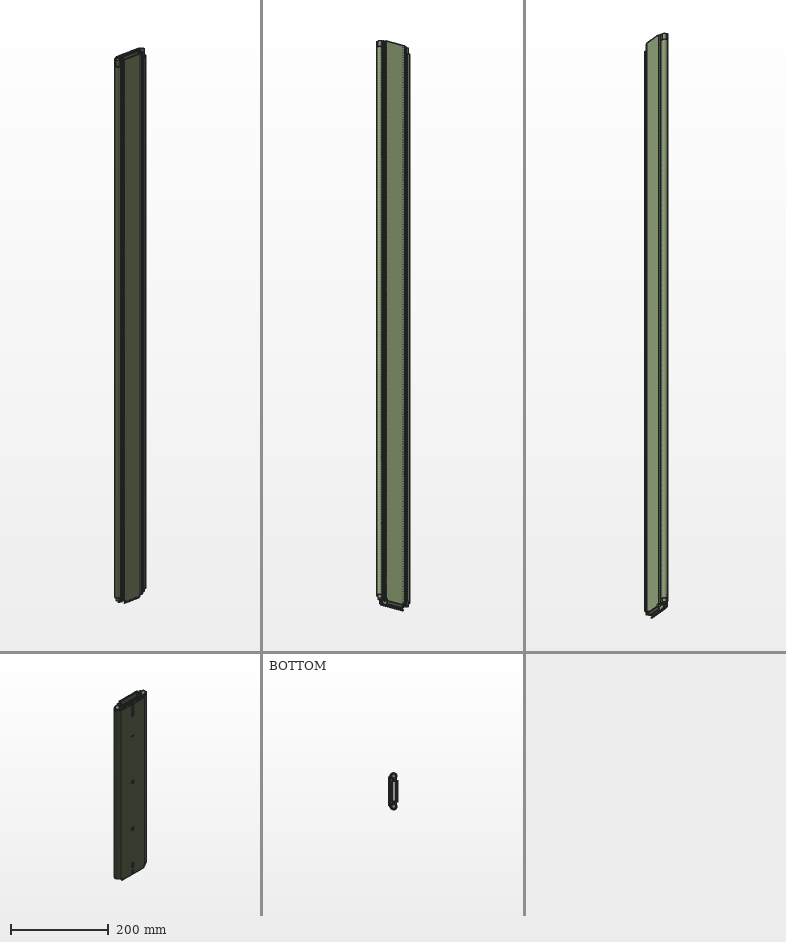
import cadquery as cq
import math

length = 1320.8
depth = 19.7
height = 76.19

sheet = 2.5
race_radius = 7.0
race_x = 10.6
race_y = height / 2 - race_radius
bore_radius = race_radius - sheet
shoulder_angle = math.radians(35.5)
race_start = math.radians(-44)
lip_angle = math.radians(105)
side_start = 18.0
tab_half_width = 26.0
tab_rise = 6.2
notch_depth = 14.5
notch_x = 8.0

hole_diameter = 4.6
small_hole_diameter = 3.0
hole_depths = [
    12.3, 32.0, 60.0, 76.0, 89.5, 248.2, 596.8, 610.7,
    958.6, 972.5, 1237.0, 1249.0, 1261.0, 1288.0, 1306.8,
]
small_hole_depths = [49.3, 1227.8]

middle_back = 5.5
middle_front = 17.0
middle_web = 2.0
middle_half_height = 28.0
middle_flange = 3.0
middle_bottom = 2.0
middle_bevel = 7.5

inner_back = 11.0
inner_half_height = 22.0
inner_tab_half_width = 18.0
inner_tab_rise = 5.0
inner_flange_start = 9.0

cage_sheet = 0.8
cage_bottom = 10.0
outer_cage_back = 4.0
outer_cage_half_height = 29.0
outer_track_radius = bore_radius - 0.1
inner_cage_back = 9.0
inner_cage_half_height = 23.9
inner_track_radius = 2.0
inner_track_x = 14.0
inner_track_y = (inner_half_height + middle_half_height - middle_flange) / 2


def block(x_start, x_end, y_start, y_end, z_start, z_end):
    """Box between two opposite corners."""
    size = (x_end - x_start, y_end - y_start, z_end - z_start)
    return cq.Workplane("XY").box(*size, centered=False).translate((x_start, y_start, z_start))


def both_sides(shape):
    """The shape together with its mirror image across the XZ plane."""
    return shape.union(shape.mirror("XZ"))


def track(x, y, radius, z_start):
    """Round bar along Z, from z_start to the top end."""
    return cq.Workplane("XY", origin=(x, y, z_start)).circle(radius).extrude(length - z_start)


def race_point(radius, angle):
    """Point of the outer race; the angle runs from +Y towards +X."""
    return (race_x + radius * math.sin(angle), race_y + radius * math.cos(angle))


def shoulder_foot(radius, x):
    """Point at the given x on the shoulder line that meets the start of the race."""
    start_x, start_y = race_point(radius, race_start)
    return (x, start_y - (start_x - x) / math.tan(shoulder_angle))


def bent_tab(face_x, inward, half_width, rise):
    """Lower end of a web, leaning inward below the bend; inward is +1 or -1 along X."""
    lean = rise * math.tan(shoulder_angle) * inward
    thickness = sheet * inward
    return (
        cq.Workplane("XZ", origin=(0, half_width, 0))
        .moveTo(face_x, side_start)
        .lineTo(face_x, rise)
        .lineTo(face_x + lean, 0)
        .lineTo(face_x + lean + thickness, 0)
        .lineTo(face_x + thickness, rise)
        .lineTo(face_x + thickness, side_start)
        .close()
        .extrude(2 * half_width)
    )


def outer_half_section():
    """The +Y half of the outer member, above its bent tab."""
    middle_angle = (race_start + lip_angle) / 2
    return (
        cq.Workplane("XY", origin=(0, 0, side_start))
        .moveTo(0, 0)
        .lineTo(*shoulder_foot(race_radius, 0))
        .lineTo(*race_point(race_radius, race_start))
        .threePointArc(race_point(race_radius, middle_angle), race_point(race_radius, lip_angle))
        .lineTo(*race_point(bore_radius, lip_angle))
        .threePointArc(race_point(bore_radius, middle_angle), race_point(bore_radius, race_start))
        .lineTo(*shoulder_foot(bore_radius, sheet))
        .lineTo(sheet, 0)
        .close()
        .extrude(length - side_start)
    )


def screw_holes(depths, diameter):
    """Cutters along X through the outer web."""
    return (
        cq.Workplane("YZ")
        .pushPoints([(0, length - hole_depth) for hole_depth in depths])
        .circle(diameter / 2)
        .extrude(sheet)
    )


def make_outer_member():
    notch = block(notch_x, depth, race_y - race_radius, height, length - notch_depth, length)
    body = both_sides(outer_half_section().cut(notch))
    body = body.union(bent_tab(0, 1, tab_half_width, tab_rise))
    body = body.cut(screw_holes(hole_depths, hole_diameter))
    return body.cut(screw_holes(small_hole_depths, small_hole_diameter))


def make_intermediate_member():
    inside = middle_half_height - middle_flange
    body = block(
        middle_back, middle_front, -middle_half_height, middle_half_height, middle_bottom, length
    )
    body = body.edges("|X and <Z").chamfer(middle_bevel)
    body = body.cut(block(middle_back + middle_web, middle_front, -inside, inside, 0, length))
    grooves = track(race_x, race_y, outer_track_radius, 0)
    grooves = grooves.union(track(inner_track_x, inner_track_y, inner_track_radius, 0))
    return body.cut(both_sides(grooves))


def make_inner_member():
    inside = inner_half_height - sheet
    body = block(
        inner_back, depth, -inner_half_height, inner_half_height, inner_flange_start, length
    )
    body = body.cut(block(inner_back, depth - sheet, -inside, inside, 0, length))
    body = body.cut(both_sides(track(inner_track_x, inner_track_y, inner_track_radius, 0)))
    return body.union(bent_tab(depth, -1, inner_tab_half_width, inner_tab_rise))


def make_cage(back, half_height, track_x, track_y, track_radius):
    """One-piece ball cage reaching both sides of the slide."""
    strip = block(back, back + cage_sheet, -half_height, half_height, cage_bottom, length)
    arm = block(back, track_x, half_height - cage_sheet, half_height, cage_bottom, length)
    ball_track = track(track_x, track_y, track_radius, cage_bottom)
    return strip.union(both_sides(arm.union(ball_track)))


outer_member = make_outer_member()
intermediate_member = make_intermediate_member()
inner_member = make_inner_member()
outer_cage = make_cage(
    outer_cage_back, outer_cage_half_height, race_x, race_y, outer_track_radius
)
inner_cage = make_cage(
    inner_cage_back, inner_cage_half_height, inner_track_x, inner_track_y, inner_track_radius
)

result = cq.Compound.makeCompound([
    outer_member.val(),
    intermediate_member.val(),
    inner_member.val(),
    outer_cage.val(),
    inner_cage.val(),
])